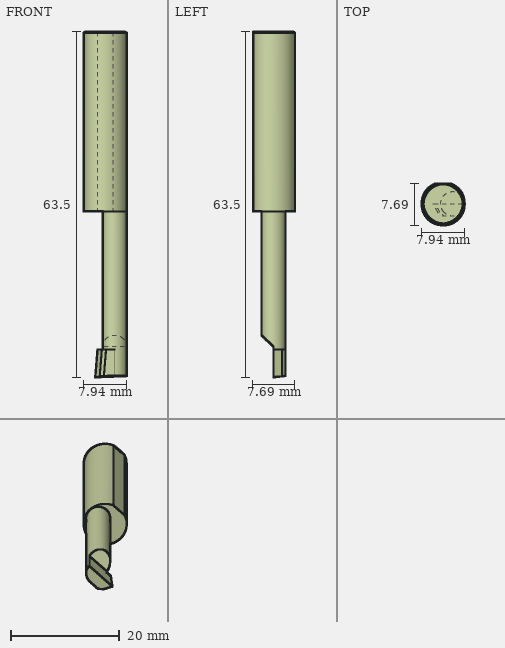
import cadquery as cq

total_length = 63.5
shank_radius = 3.97
shank_length = 33.0
shank_flat_y = 3.715
chamfer_width = 0.4
chamfer_height = 0.25

neck_radius = 2.2
neck_x = shank_radius - neck_radius
shank_bottom = total_length - shank_length

relief_runout_bottom = 5.65
relief_runout_top = 7.75

head_height = 5.15
head_lean = 0.41
tip_x = -1.85
flank_points = [(-1.0, -1.6), (-0.25, -neck_radius)]

end_rise_along_x = 0.04
end_rise_toward_back = 0.1


def make_shank():
    chamfer_start = total_length - chamfer_height
    profile = [
        (0, shank_bottom),
        (shank_radius, shank_bottom),
        (shank_radius, chamfer_start),
        (shank_radius - chamfer_width, total_length),
        (0, total_length),
    ]
    shank = cq.Workplane("XZ").polyline(profile).close().revolve(360, (0, 0), (0, 1))
    waste = cq.Workplane("XY").box(
        2 * shank_radius, shank_radius, total_length, centered=(True, False, False)
    )
    return shank.cut(waste.translate((0, shank_flat_y, 0)))


def make_neck():
    neck = cq.Workplane("XY").center(neck_x, 0).circle(neck_radius).extrude(shank_bottom)
    relief_profile = [
        (0, 0),
        (neck_radius, 0),
        (neck_radius, relief_runout_top),
        (0, relief_runout_bottom),
    ]
    relief = (
        cq.Workplane("YZ", origin=(neck_x, 0, 0))
        .polyline(relief_profile)
        .close()
        .extrude(neck_radius, both=True)
    )
    return neck.cut(relief)


def head_outline(lean):
    """Head section with its cutting edge and flanks moved toward +X."""
    flanks = [(x + lean, y) for x, y in flank_points]
    return [(tip_x + lean, 0)] + flanks + [(neck_x, -neck_radius), (neck_x, 0)]


def make_head():
    return (
        cq.Workplane("XY")
        .polyline(head_outline(0))
        .close()
        .workplane(offset=head_height)
        .polyline(head_outline(head_lean))
        .close()
        .loft(ruled=True)
    )


def make_end_waste():
    """Block whose sloping top passes through the cutting tip."""
    size = 4 * shank_radius
    slope = cq.Plane(
        origin=(tip_x, 0, 0),
        xDir=(1, 0, end_rise_along_x),
        normal=(-end_rise_along_x, end_rise_toward_back, 1),
    )
    return cq.Workplane(slope).rect(size, size).extrude(-size)


result = make_shank().union(make_neck()).union(make_head()).cut(make_end_waste())